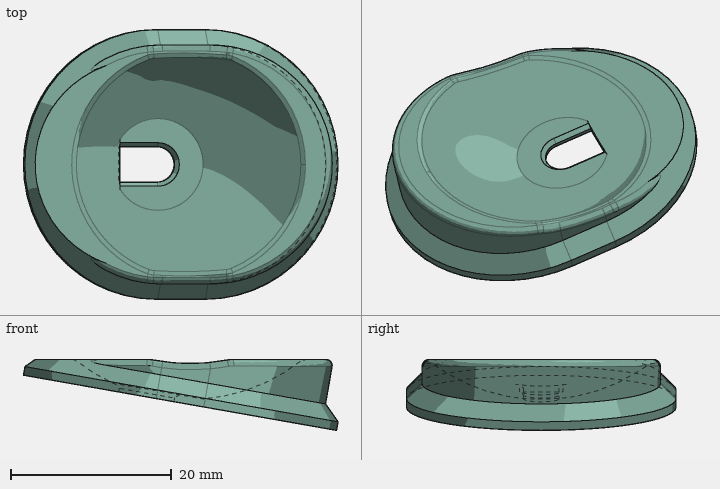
import cadquery as cq
import math

tilt = 10.0
length = 39.2
width = 33.6
height = 8.85
plate_thickness = 1.1
shoulder_size = 1.92
rim_radius = 14.25
rim_center_x = 0.98
bowl_radius = 22.75
floor_thickness = 0.98
dip_center_x = 1.18
dip_half_length = 4.9
dip_depth = 0.5
dip_blend = 3.92
outer_round = 0.8
rim_round = 0.95
slot_length = 4.8
slot_radius = 2.2
countersink = 0.5
tolerance = 0.005
cut_reach = 78.42

sin_tilt = math.sin(math.radians(tilt))
cos_tilt = math.cos(math.radians(tilt))
base_length = (length - plate_thickness * sin_tilt) / cos_tilt
base_plane = cq.Plane(
    origin=(-plate_thickness * sin_tilt / 2, 0, base_length / 2 * sin_tilt),
    xDir=(cos_tilt, 0, -sin_tilt),
    normal=(sin_tilt, 0, cos_tilt),
)
rounding_level = height - dip_depth - 0.1
bowl_center_z = height + math.sqrt(bowl_radius**2 - rim_radius**2)
slot_center = base_plane.toLocalCoords(cq.Vector(rim_center_x, 0, bowl_center_z)).x
slot_square_end = slot_center - slot_length


def base_sketch_plane(offset=0.0):
    """Workplane parallel to the base at a distance above it."""
    return cq.Workplane(base_plane).workplane(offset=offset)


def base_outline(offset, inset):
    """Round-ended outline parallel to the base, shrunk by the inset."""
    return base_sketch_plane(offset).slot2D(base_length - 2 * inset, width - 2 * inset)


def cut_flat_on_top(solid):
    """Trim a solid at the overall height."""
    below_top = cq.Workplane().box(cut_reach, cut_reach, cut_reach).translate((0, 0, height - cut_reach / 2))
    return solid.intersect(below_top)


def make_base():
    """Tilted plate with a sloping shoulder."""
    plate = base_outline(0, 0).extrude(plate_thickness)
    shoulder = base_outline(plate_thickness, 0).extrude(shoulder_size + outer_round, taper=45)
    return cut_flat_on_top(plate.union(shoulder))


def make_bowl():
    """Sphere stopped by the flat floor, except beyond the square end of the slot."""
    sphere = cq.Workplane().sphere(bowl_radius).translate((rim_center_x, 0, bowl_center_z))
    floor_block = (
        base_sketch_plane(floor_thickness)
        .center(slot_square_end + cut_reach / 2, 0)
        .rect(cut_reach, cut_reach)
        .extrude(-cut_reach)
    )
    return sphere.cut(floor_block)


def make_dip():
    """Cylinder along Y forming the saddle in both long sides."""
    radius = (dip_half_length**2 + dip_depth**2) / (2 * dip_depth)
    return (
        cq.Workplane("XZ")
        .center(dip_center_x, height - dip_depth + radius)
        .circle(radius)
        .extrude(width, both=True)
    )


def make_wall():
    """Upper wall, square to the base, with softened saddles and a rounded top edge."""
    wall = cut_flat_on_top(base_outline(0, shoulder_size).extrude(2 * height)).cut(make_dip())
    wall = wall.edges(upper_edges(height - tolerance)).edges("|Y").fillet(dip_blend)
    return wall.edges(upper_edges(rounding_level)).edges("not |Y").fillet(outer_round)


def upper_edges(level):
    """Selector for edges centred above a level."""
    return cq.selectors.BoxSelector(
        (-cut_reach, -cut_reach, level), (cut_reach, cut_reach, height + tolerance)
    )


def round_bowl_rim(body):
    """Round the edge where the sphere meets the flat top and the saddles."""
    center = cq.Vector(rim_center_x, 0, bowl_center_z)

    def on_bowl(edge):
        points = [edge.positionAt(step) for step in (0, 0.3, 0.5)]
        return all(abs((point - center).Length - bowl_radius) < tolerance for point in points)

    rim = [edge for edge in body.edges(upper_edges(rounding_level)).vals() if on_bowl(edge)]
    return body.newObject(rim).fillet(rim_round)


def round_ended_slot(offset, depth, taper=0):
    """Slot parallel to the base, symmetric about the place of its square end."""
    return (
        base_sketch_plane(offset)
        .center(slot_square_end, 0)
        .slot2D(2 * (slot_length + slot_radius), 2 * slot_radius)
        .extrude(depth, taper=taper)
    )


def make_slot():
    """Slot with one square and one round end, flared where it meets the bowl floor."""
    bore = round_ended_slot(0, floor_thickness)
    flare = round_ended_slot(floor_thickness - countersink, countersink, taper=-45)
    rounded_half = (
        base_sketch_plane()
        .center(slot_square_end + cut_reach / 2, 0)
        .rect(cut_reach, cut_reach)
        .extrude(cut_reach, both=True)
    )
    return bore.union(flare).intersect(rounded_half)


body = make_base().union(make_wall()).cut(make_bowl())
result = round_bowl_rim(body).cut(make_slot())